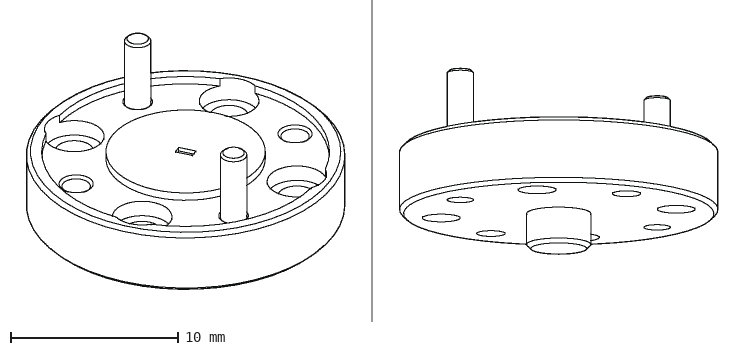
import cadquery as cq

flange_diameter = 19.05
flange_height = 4.0
flange_chamfer = 0.25

recess_diameter = 17.2
contact_diameter = 9.52
recess_depth = 0.51
recess_floor = flange_height - recess_depth

spigot_diameter = 3.85
spigot_length = 2.13
spigot_chamfer = 0.25

slot_length = 1.1
slot_width = 0.55
slot_depth = 0.25

bolt_circle_radius = 7.15
screw_hole_diameter = 2.27
counterbore_diameter = 3.56
counterbore_depth = 1.52
screw_angles = [0, 90, 180, 270]

alignment_hole_diameter = 1.7
alignment_chamfer = 0.17
alignment_angles = [45, 225]

pin_diameter = 1.58
pin_projection = 3.9
pin_tip_chamfer = 0.15
pin_hole_chamfer = 0.1
pin_angles = [135, 315]


def on_bolt_circle(shape, angle):
    """Move a shape from the Z axis to an angle on the bolt circle."""
    return shape.translate((bolt_circle_radius, 0, 0)).rotate((0, 0, 0), (0, 0, 1), angle)


def cylinder(diameter, bottom, top):
    return cq.Workplane("XY").workplane(offset=bottom).circle(diameter / 2).extrude(top - bottom)


def make_blank():
    disc = cylinder(flange_diameter, 0, flange_height).edges().chamfer(flange_chamfer)
    spigot = cylinder(spigot_diameter, -spigot_length, 0).faces("<Z").edges().chamfer(spigot_chamfer)
    return disc.union(spigot)


def make_recess():
    outer = cylinder(recess_diameter, recess_floor, flange_height)
    return outer.cut(cylinder(contact_diameter, recess_floor, flange_height))


def make_slot():
    return (
        cq.Workplane("XY")
        .workplane(offset=flange_height)
        .rect(slot_length, slot_width)
        .extrude(-slot_depth)
    )


def make_screw_cutter():
    """Through hole with a counterbore that also bites into the rim."""
    hole = cylinder(screw_hole_diameter, 0, flange_height)
    counterbore_floor = flange_height - counterbore_depth
    return hole.union(cylinder(counterbore_diameter, counterbore_floor, flange_height))


def make_chamfered_hole_cutter(diameter, chamfer):
    """Through hole with a countersunk mouth at the recess floor."""
    radius = diameter / 2
    return (
        cq.Workplane("XZ")
        .moveTo(0, 0)
        .lineTo(radius, 0)
        .lineTo(radius, recess_floor - chamfer)
        .lineTo(radius + chamfer, recess_floor)
        .lineTo(0, recess_floor)
        .close()
        .revolve(360, (0, 0, 0), (0, 1, 0))
    )


def make_flange():
    body = make_blank().cut(make_recess()).cut(make_slot())
    for angle in screw_angles:
        body = body.cut(on_bolt_circle(make_screw_cutter(), angle))
    for angle in alignment_angles:
        cutter = make_chamfered_hole_cutter(alignment_hole_diameter, alignment_chamfer)
        body = body.cut(on_bolt_circle(cutter, angle))
    for angle in pin_angles:
        cutter = make_chamfered_hole_cutter(pin_diameter, pin_hole_chamfer)
        body = body.cut(on_bolt_circle(cutter, angle))
    return body


def make_pin(angle):
    """Dowel pin that fills its hole down to the flange underside."""
    pin = cylinder(pin_diameter, 0, flange_height + pin_projection)
    return on_bolt_circle(pin.faces(">Z").edges().chamfer(pin_tip_chamfer), angle)


flange = make_flange()
pins = [make_pin(angle) for angle in pin_angles]

result = cq.Compound.makeCompound([flange.solids().val(), *[pin.solids().val() for pin in pins]])